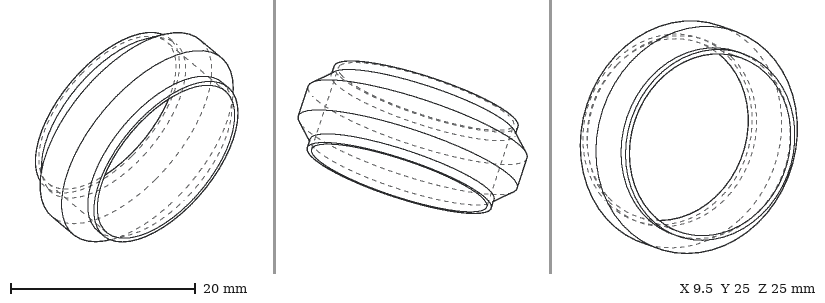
import cadquery as cq

crest_diameter = 25.0
collar_diameter = 21.0
bore_diameter = 20.0
ring_width = 9.5
collar_width = 1.0

crest_radius = crest_diameter / 2
collar_radius = collar_diameter / 2
bore_radius = bore_diameter / 2
end_x = ring_width / 2
cone_foot_x = end_x - collar_width
cone_rise = crest_radius - collar_radius
crest_edge_x = cone_foot_x - cone_rise

section = [
    (-end_x, bore_radius),
    (-end_x, collar_radius),
    (-cone_foot_x, collar_radius),
    (-crest_edge_x, crest_radius),
    (crest_edge_x, crest_radius),
    (cone_foot_x, collar_radius),
    (end_x, collar_radius),
    (end_x, bore_radius),
]

result = cq.Workplane("XY").polyline(section).close().revolve(360, (0, 0, 0), (1, 0, 0))